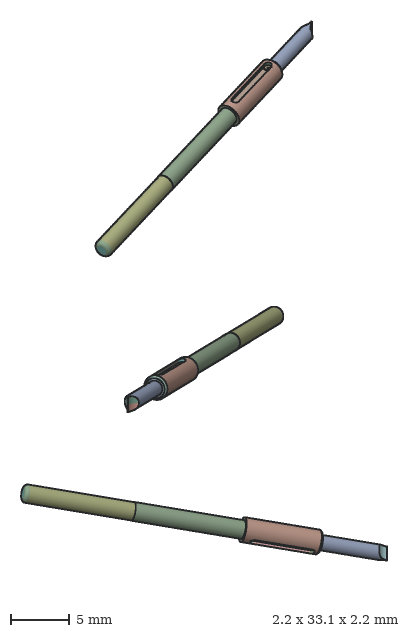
import cadquery as cq

total_length = 33.1
tail_y = -total_length / 2
blade_end_y = total_length / 2

tail_diameter = 1.62
tail_length = 10.0
tail_fillet = 0.35
body_diameter = 1.65

sleeve_diameter = 2.2
sleeve_length = 7.02
sleeve_chamfer = 0.2
blade_length = 6.1
sleeve_front_y = blade_end_y - blade_length
sleeve_back_y = sleeve_front_y - sleeve_length

slot_width = 0.7
slot_length = 5.83
slot_front_gap = 0.5
slot_center_y = sleeve_front_y - slot_front_gap - slot_length / 2

seat_diameter = slot_width
seat_floor_z = 0.73
pilot_diameter = 0.13
pilot_depth = 0.15
seat_y = slot_center_y + (slot_length - slot_width) / 2

blade_diameter = 1.35
edge_thickness = 0.1
grind_radius = 1.0


def cylinder(diameter, start_y, end_y):
    """Cylinder on the Y axis between two Y positions."""
    disc = cq.Workplane("XZ", origin=(0, start_y, 0)).circle(diameter / 2)
    return disc.extrude(start_y - end_y)


def make_shaft():
    tail_end_y = tail_y + tail_length
    tail = cylinder(tail_diameter, tail_y, tail_end_y).faces("<Y").edges().fillet(tail_fillet)
    return tail.union(cylinder(body_diameter, tail_end_y, sleeve_back_y))


def make_sleeve():
    sleeve = cylinder(sleeve_diameter, sleeve_back_y, sleeve_front_y)
    return sleeve.faces(">Y").edges().chamfer(sleeve_chamfer)


def make_slots():
    """Slots on +Z and -Z that stop at the surface of the shaft body."""
    through_slot = (
        cq.Workplane("XY", origin=(0, slot_center_y, 0))
        .slot2D(slot_length, slot_width, 90)
        .extrude(sleeve_diameter / 2, both=True)
    )
    return through_slot.cut(cylinder(body_diameter, sleeve_back_y, sleeve_front_y))


def make_seat():
    """Seat and pilot hole cutter, reaching down from above the sleeve."""
    seat = cq.Workplane("XY", origin=(0, seat_y, seat_floor_z)).circle(seat_diameter / 2)
    pilot = cq.Workplane("XY", origin=(0, seat_y, seat_floor_z)).circle(pilot_diameter / 2)
    return seat.extrude(sleeve_diameter / 2).union(pilot.extrude(-pilot_depth))


def make_blade():
    blade = cylinder(blade_diameter, sleeve_front_y, blade_end_y)
    grind_x = edge_thickness / 2 + grind_radius
    for side in (1, -1):
        grind = cq.Workplane("XY", origin=(side * grind_x, blade_end_y, 0)).circle(grind_radius)
        blade = blade.cut(grind.extrude(blade_diameter, both=True))
    return blade


result = make_shaft().union(make_sleeve()).union(make_blade())
result = result.cut(make_slots()).cut(make_seat())